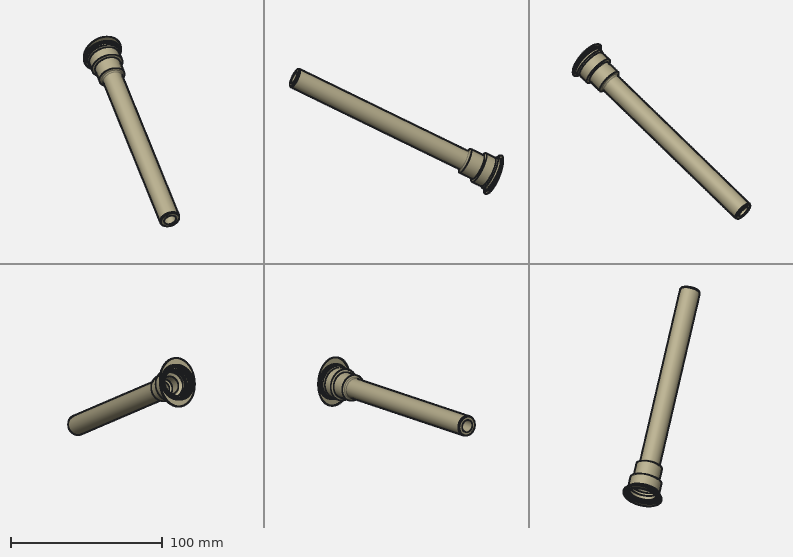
import cadquery as cq
import math

TOTAL_LENGTH = 151.3

PLATE_WIDTH = 26.0
PLATE_HEIGHT = 33.0
PLATE_THICKNESS = 0.5
PLATE_EDGE_CHAMFER = 0.3

COLLAR_RADIUS = 22.4 / 2
COLLAR_END = 3.2
HEAD_RADIUS = 21.2 / 2
HEAD_END = 11.45
NECK_RADIUS = 17.5 / 2
NECK_END = 21.87
STEM_RADIUS = 13.5 / 2
STEM_ROOT_FILLET = 1.0
STEM_TIP_CHAMFER_LENGTH = 0.9
STEM_TIP_CHAMFER_DEPTH = 0.4
COLLAR_ROOT_FILLET = COLLAR_RADIUS - HEAD_RADIUS

SHOULDER_TILT = math.radians(20)
FUNNEL_TILT = math.radians(30)

RECESS_RADIUS = 23.8 / 2
RECESS_DEPTH = 0.15
OUTER_BEVEL_RADIUS = 11.5
INNER_BEVEL_RADIUS = 11.0
MOUTH_RADIUS = 21.0 / 2
INNER_BEVEL_DEPTH = 0.65

INSERT_RADIUS = 20.4 / 2
INSERT_END = 4.3
INSERT_BORE_RADIUS = 17.5 / 2
INSERT_CHAMFER_DEPTH = 0.35
INSERT_CHAMFER_LENGTH = 0.5

BORE_RADIUS = 17.0 / 2
UNDERCUT_RADIUS = 17.5 / 2
UNDERCUT_START = 6.4
UNDERCUT_TAPER_START = 7.8
FUNNEL_START = 9.4
MIDDLE_BORE_RADIUS = 12.0 / 2
MIDDLE_BORE_END = 20.0
HOLE_RADIUS = 8.2 / 2

OUTER_BEVEL_END = RECESS_DEPTH + (OUTER_BEVEL_RADIUS - INNER_BEVEL_RADIUS) * math.tan(FUNNEL_TILT)
INSERT_START = OUTER_BEVEL_END + INNER_BEVEL_DEPTH
NECK_START = HEAD_END + (HEAD_RADIUS - NECK_RADIUS) * math.tan(SHOULDER_TILT)
FUNNEL_END = FUNNEL_START + (BORE_RADIUS - MIDDLE_BORE_RADIUS) * math.tan(FUNNEL_TILT)
HOLE_START = MIDDLE_BORE_END + (MIDDLE_BORE_RADIUS - HOLE_RADIUS) * math.tan(SHOULDER_TILT)


def spin(outline):
    """Revolve a closed (x, radius) outline once around the X axis."""
    return outline.close().revolve(360, (0, 0, 0), (1, 0, 0))


def root_fillet(outline, center_x, surface_radius, fillet, start_tilt=0.0):
    """Draw a hollow corner fillet that runs out along the cylinder of surface_radius.

    It starts where its tangent leans start_tilt away from square to the axis.
    """
    def point(angle):
        return (
            center_x - fillet * math.cos(angle),
            surface_radius + fillet * (1 - math.sin(angle)),
        )

    middle_angle = (start_tilt + math.pi / 2) / 2
    return (
        outline.lineTo(*point(start_tilt))
        .threePointArc(point(middle_angle), (center_x, surface_radius))
    )


def make_plate():
    """Oval plate with a chamfered front edge and an opening for the revolved part."""
    plate = (
        cq.Workplane("YZ")
        .ellipse(PLATE_WIDTH / 2, PLATE_HEIGHT / 2)
        .extrude(PLATE_THICKNESS)
        .faces("<X").edges().chamfer(PLATE_EDGE_CHAMFER)
    )
    opening = cq.Workplane("YZ").circle(RECESS_RADIUS).extrude(PLATE_THICKNESS)
    return plate.cut(opening)


def draw_outside(outline):
    """Outer contour from the back of the plate to the tip of the stem."""
    outline = root_fillet(
        outline, PLATE_THICKNESS + COLLAR_ROOT_FILLET, COLLAR_RADIUS, COLLAR_ROOT_FILLET
    )
    outline = root_fillet(
        outline, COLLAR_END + COLLAR_ROOT_FILLET, HEAD_RADIUS, COLLAR_ROOT_FILLET
    )
    outline = (
        outline.lineTo(HEAD_END, HEAD_RADIUS)
        .lineTo(NECK_START, NECK_RADIUS)
        .lineTo(NECK_END, NECK_RADIUS)
    )
    fillet_start_radius = STEM_RADIUS + STEM_ROOT_FILLET * (1 - math.sin(SHOULDER_TILT))
    fillet_start = NECK_END + (NECK_RADIUS - fillet_start_radius) * math.tan(SHOULDER_TILT)
    fillet_center = fillet_start + STEM_ROOT_FILLET * math.cos(SHOULDER_TILT)
    outline = root_fillet(outline, fillet_center, STEM_RADIUS, STEM_ROOT_FILLET, SHOULDER_TILT)
    return (
        outline.lineTo(TOTAL_LENGTH - STEM_TIP_CHAMFER_LENGTH, STEM_RADIUS)
        .lineTo(TOTAL_LENGTH, STEM_RADIUS - STEM_TIP_CHAMFER_DEPTH)
    )


def draw_inside(outline):
    """Inner contour from the stem tip back to the mouth.

    Behind the insert the bore opens into a shallow undercut that tapers back to the funnel.
    """
    return (
        outline.lineTo(TOTAL_LENGTH, HOLE_RADIUS)
        .lineTo(HOLE_START, HOLE_RADIUS)
        .lineTo(MIDDLE_BORE_END, MIDDLE_BORE_RADIUS)
        .lineTo(FUNNEL_END, MIDDLE_BORE_RADIUS)
        .lineTo(FUNNEL_START, BORE_RADIUS)
        .lineTo(UNDERCUT_TAPER_START, UNDERCUT_RADIUS)
        .lineTo(UNDERCUT_START, UNDERCUT_RADIUS)
        .lineTo(UNDERCUT_START, BORE_RADIUS)
        .lineTo(INSERT_END, BORE_RADIUS)
        .lineTo(INSERT_END, INSERT_RADIUS)
        .lineTo(INSERT_START, INSERT_RADIUS)
        .lineTo(INSERT_START, MOUTH_RADIUS)
        .lineTo(OUTER_BEVEL_END, INNER_BEVEL_RADIUS)
    )


def make_housing():
    """Oval flange plate and the stepped tube behind it, as one solid."""
    outline = (
        cq.Workplane("XY")
        .moveTo(RECESS_DEPTH, OUTER_BEVEL_RADIUS)
        .lineTo(RECESS_DEPTH, RECESS_RADIUS)
        .lineTo(PLATE_THICKNESS, RECESS_RADIUS)
    )
    outline = draw_inside(draw_outside(outline))
    return make_plate().union(spin(outline))


def make_insert():
    """Ring seated in the mouth of the housing, with a chamfered entry."""
    outline = (
        cq.Workplane("XY")
        .moveTo(INSERT_START, INSERT_BORE_RADIUS + INSERT_CHAMFER_DEPTH)
        .lineTo(INSERT_START, INSERT_RADIUS)
        .lineTo(INSERT_END, INSERT_RADIUS)
        .lineTo(INSERT_END, INSERT_BORE_RADIUS)
        .lineTo(INSERT_START + INSERT_CHAMFER_LENGTH, INSERT_BORE_RADIUS)
    )
    return spin(outline)


housing = make_housing()
insert = make_insert()

result = cq.Compound.makeCompound([housing.val(), insert.val()])